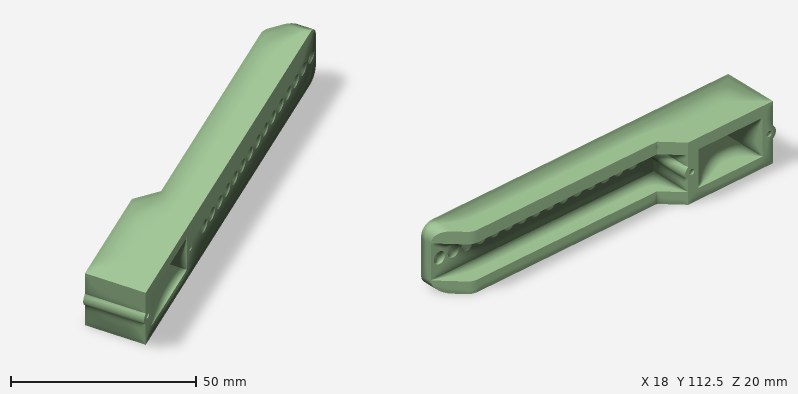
import cadquery as cq
import math

width = 18.0
length = 112.5
height = 20.0

post_diameter = 5.0
screw_diameter = 1.8
screw_spacing = 28.0
post_overhang = 1.1
block_start = post_overhang
near_screw_y = post_diameter / 2
far_screw_y = near_screw_y + screw_spacing
block_end = near_screw_y + far_screw_y - block_start
window_length = 23.2
window_height = 12.5

arm_face_x = 6.0
ramp_end = block_end + arm_face_x

channel_height = 11.9
floor_thickness = 4.0
channel_floor_x = width - floor_thickness

tip_chamfer = channel_floor_x - arm_face_x
tip_blend_radius = 3.9
tip_corner_radius = 3.9

hole_count = 15
hole_diameter = 4.0
hole_row_length = 70.0
hole_pitch = hole_row_length / (hole_count - 1)
last_hole_margin = 3.0


def box_between(x_range, y_range, box_height):
    """Box spanning two ranges in X and Y, centred on Z = 0."""
    return (
        cq.Workplane("XY")
        .box(x_range[1] - x_range[0], y_range[1] - y_range[0], box_height,
             centered=(False, False, True))
        .translate((x_range[0], y_range[0], 0))
    )


def cross_cylinders(diameter, y_places):
    """Cylinders along X through the whole width, at mid height."""
    return (
        cq.Workplane("YZ")
        .pushPoints([(y, 0) for y in y_places])
        .circle(diameter / 2)
        .extrude(width)
    )


def make_body():
    """Stepped outline with a blended chamfer and rounded corners at the tip."""
    turn = math.radians(45)
    half_turn = turn / 2
    chamfer_start = length - tip_chamfer
    blend_reach = tip_blend_radius * math.tan(half_turn)
    diagonal_step = blend_reach * math.cos(turn)
    arc_center_x = arm_face_x + tip_blend_radius
    arc_mid_x = arc_center_x - tip_blend_radius * math.cos(half_turn)
    arc_start_y = chamfer_start - blend_reach
    arc_mid_y = arc_start_y + tip_blend_radius * math.sin(half_turn)
    body = (
        cq.Workplane("XY")
        .moveTo(0, block_start)
        .lineTo(0, block_end)
        .lineTo(arm_face_x, ramp_end)
        .lineTo(arm_face_x, arc_start_y)
        .threePointArc((arc_mid_x, arc_mid_y),
                       (arm_face_x + diagonal_step, chamfer_start + diagonal_step))
        .lineTo(channel_floor_x, length)
        .lineTo(width, length)
        .lineTo(width, block_start)
        .close()
        .extrude(height / 2, both=True)
    )
    rounded_envelope = (
        box_between((0, width), (block_start, length), height)
        .edges("|X and >Y")
        .fillet(tip_corner_radius)
    )
    return body.intersect(rounded_envelope)


channel = box_between((0, channel_floor_x), (block_end, length), channel_height)
window_start = (block_start + block_end - window_length) / 2
window = box_between((0, width), (window_start, window_start + window_length), window_height)

screw_places = [near_screw_y, far_screw_y]
row_places = [length - last_hole_margin - i * hole_pitch for i in range(hole_count)]

result = (
    make_body()
    .cut(channel)
    .union(cross_cylinders(post_diameter, screw_places))
    .cut(window)
    .cut(cross_cylinders(screw_diameter, screw_places))
    .cut(cross_cylinders(hole_diameter, row_places))
)